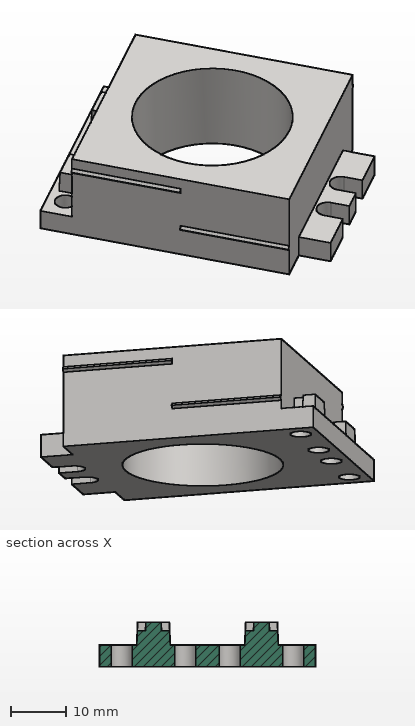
import cadquery as cq

LENGTH = 53.0
OVERALL_WIDTH = 40.0
BLOCK_LENGTH = 41.0
BLOCK_WIDTH = 39.0
BLOCK_HEIGHT = 17.0
BORE_DIAMETER = 29.05

LEFT_FLANGE_HEIGHT = 4.0
HOLE_DIAMETER = 3.8
HOLE_INSET = 3.5
HOLE_SPACING = 11.5

KEY_TOP = 8.05
KEY_OFFSET = 9.75
KEY_HEAD_INSET = 1.5
KEY_HEAD_DEPTH = 2.55
KEY_HEAD_WIDTH = 6.1
KEY_STEM_WIDTH = 3.15
KEY_DRAFT = 0.15

RIGHT_FLANGE_HEIGHT = 4.2
RIGHT_FLANGE_WIDTH = 27.15
SLOT_WIDTH = 4.05
SLOT_DEPTH = 5.5
SLOT_OFFSET = 4.05

RIDGE_HEIGHT = 1.0
RIDGE_PROJECTION = (OVERALL_WIDTH - BLOCK_WIDTH) / 2
UPPER_RIDGE_Z = 14.35
LOWER_RIDGE_Z = 6.0

OVERLAP = 0.25
END_X = LENGTH / 2
BLOCK_X = BLOCK_LENGTH / 2
FLANGE_LENGTH = END_X - BLOCK_X


def make_block():
    return cq.Workplane("XY").box(
        BLOCK_LENGTH, BLOCK_WIDTH, BLOCK_HEIGHT, centered=(True, True, False)
    )


def make_flange(side, width, height):
    """Flange at the -X (side = -1) or +X (side = 1) end of the block."""
    length = FLANGE_LENGTH + OVERLAP
    center_x = side * (END_X - length / 2)
    return (
        cq.Workplane("XY")
        .center(center_x, 0)
        .box(length, width, height, centered=(True, True, False))
    )


def key_outline(plane, center_y, inset):
    """T outline whose exposed edges are all moved in by inset."""
    front = -END_X + KEY_HEAD_INSET + inset
    shoulder = -END_X + KEY_HEAD_INSET + KEY_HEAD_DEPTH - inset
    back = -BLOCK_X + OVERLAP
    half_head = KEY_HEAD_WIDTH / 2 - inset
    half_stem = KEY_STEM_WIDTH / 2 - inset
    return plane.polyline([
        (front, center_y - half_head),
        (shoulder, center_y - half_head),
        (shoulder, center_y - half_stem),
        (back, center_y - half_stem),
        (back, center_y + half_stem),
        (shoulder, center_y + half_stem),
        (shoulder, center_y + half_head),
        (front, center_y + half_head),
    ]).close()


def make_key(center_y):
    base = key_outline(cq.Workplane("XY", origin=(0, 0, LEFT_FLANGE_HEIGHT)), center_y, 0)
    top_plane = base.workplane(offset=KEY_TOP - LEFT_FLANGE_HEIGHT)
    return key_outline(top_plane, center_y, KEY_DRAFT).loft(ruled=True)


def make_ridge(start_x, center_z):
    """Ridge on the -Y side, half as long as the block."""
    wall_y = -BLOCK_WIDTH / 2
    half_height = RIDGE_HEIGHT / 2
    return (
        cq.Workplane("YZ", origin=(start_x, 0, 0))
        .polyline([
            (wall_y + OVERLAP, center_z - half_height),
            (wall_y, center_z - half_height),
            (wall_y - RIDGE_PROJECTION, center_z),
            (wall_y, center_z + half_height),
            (wall_y + OVERLAP, center_z + half_height),
        ])
        .close()
        .extrude(BLOCK_LENGTH / 2)
    )


def make_slot(center_y):
    """Round-ended cutter, open at the +X end of the flange."""
    radius = SLOT_WIDTH / 2
    arc_x = END_X - SLOT_DEPTH + radius
    return (
        cq.Workplane("XY")
        .moveTo(END_X, center_y - radius)
        .lineTo(arc_x, center_y - radius)
        .threePointArc((END_X - SLOT_DEPTH, center_y), (arc_x, center_y + radius))
        .lineTo(END_X, center_y + radius)
        .close()
        .extrude(RIGHT_FLANGE_HEIGHT)
    )


def make_flange_holes():
    centers = [
        (-END_X + HOLE_INSET, key_side * KEY_OFFSET + hole_side * HOLE_SPACING / 2)
        for key_side in (-1, 1)
        for hole_side in (-1, 1)
    ]
    return (
        cq.Workplane("XY")
        .pushPoints(centers)
        .circle(HOLE_DIAMETER / 2)
        .extrude(LEFT_FLANGE_HEIGHT)
    )


result = make_block()
result = result.union(make_flange(-1, BLOCK_WIDTH, LEFT_FLANGE_HEIGHT))
result = result.union(make_flange(1, RIGHT_FLANGE_WIDTH, RIGHT_FLANGE_HEIGHT))
result = result.cut(make_flange_holes())

for side in (-1, 1):
    result = result.union(make_key(side * KEY_OFFSET))
    result = result.cut(make_slot(side * SLOT_OFFSET))

for start_x, center_z in ((-BLOCK_X, UPPER_RIDGE_Z), (0, LOWER_RIDGE_Z)):
    ridge = make_ridge(start_x, center_z)
    result = result.union(ridge)
    result = result.union(ridge.rotate((0, 0, 0), (0, 0, 1), 180))

result = result.cut(cq.Workplane("XY").circle(BORE_DIAMETER / 2).extrude(BLOCK_HEIGHT))